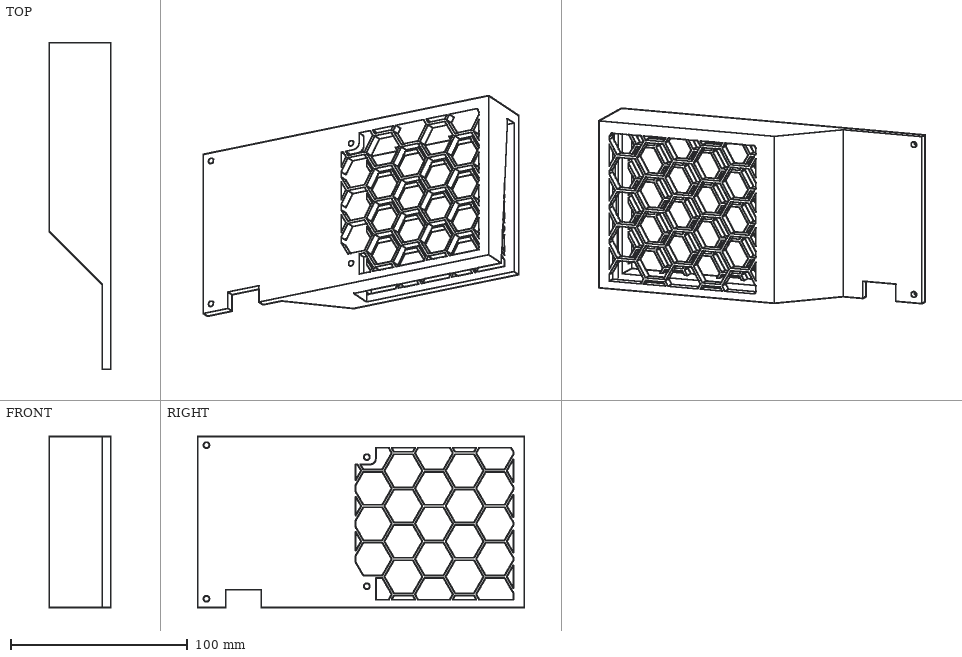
import cadquery as cq
import math

depth = 35.0
length = 185.01
height = 97.0
plate_thickness = 5.0
box_length = 107.0
box_start = length - box_length
ramp_run = depth - plate_thickness
front_x = -depth

screw_diameter = 3.2
plate_hole_inset = 5.0
notch_start = 16.0
notch_width = 20.0
notch_height = 10.0

grille_thickness = 5.5
window_width = 89.3
window_height = 86.0
window_end = length - 6.3
window_start = window_end - window_width
window_bottom = 4.5
window_top = window_bottom + window_height
cavity_front = front_x + grille_thickness

cell_pitch = 20.0
cell_gap = 1.5
cell_flats = cell_pitch - cell_gap
cell_diameter = cell_flats / math.cos(math.pi / 6)
column_pitch = cell_pitch * math.cos(math.pi / 6)
comb_y = length - 51.2
comb_z = window_bottom + window_height / 2
side_columns = 3
side_rows = 3
corner_cell = (-2, -2)

slot_lean = math.radians(4.6)
slot_back_x = -14.7

end_wall = 4.0
recess_end = length - end_wall
floor_skin = 2.0
step_x = slot_back_x - floor_skin * math.tan(slot_lean)

tab_edge = length - 84.0
tab_screw_y = length - 89.2
upper_screw_z = 85.2
lower_screw_z = 12.1
upper_tab_bottom = 81.0
upper_tab_radius = 3.5
lower_tab_top = 27.0
lower_tab_cell = (2, -1)


def block(x0, x1, y0, y1, z0, z1):
    """Box between two opposite corners."""
    return cq.Workplane("XY").box(x1 - x0, y1 - y0, z1 - z0, centered=False).translate((x0, y0, z0))


def x_prism(sketch, x0, x1):
    """Extrude a closed YZ sketch between two X positions."""
    return sketch.extrude(x1 - x0).translate((x0, 0, 0))


def cell_center(column, row):
    """Centre of a honeycomb cell; columns count toward -Y, odd ones are raised half a cell."""
    raised = cell_pitch / 2 if column % 2 else 0.0
    return (comb_y - column * column_pitch, comb_z + row * cell_pitch + raised)


def cell_cutter(centers, x0, x1):
    """Hexagonal prisms along X at the given cell centres."""
    return x_prism(cq.Workplane("YZ").pushPoints(centers).polygon(6, cell_diameter), x0, x1)


def shell_body():
    """Box, 45 degree ramp and thin plate as one profile extruded upward."""
    profile = [
        (0, 0),
        (0, length),
        (front_x, length),
        (front_x, box_start),
        (-plate_thickness, box_start - ramp_run),
        (-plate_thickness, 0),
    ]
    return cq.Workplane("XY").polyline(profile).close().extrude(height)


def cavity():
    """Window through the whole depth, widened behind the front grille into the wall and floor."""
    window = block(front_x, 0, window_start, window_end, window_bottom, window_top)
    recess = block(cavity_front, step_x, window_start, recess_end, floor_skin, window_top)
    return window.union(recess)


def slot():
    """Leaning slot that opens the end wall and the floor behind the front grille."""
    top_x = slot_back_x - window_top * math.tan(slot_lean)
    profile = [(cavity_front, 0), (slot_back_x, 0), (top_x, window_top), (cavity_front, window_top)]
    return (
        cq.Workplane("XZ").polyline(profile).close()
        .extrude(window_start - length)
        .translate((0, window_start, 0))
    )


def grille(x0, x1):
    """Honeycomb panel that fills the window, with its lower +Y corner left open."""
    centers = [
        cell_center(column, row)
        for column in range(-side_columns, side_columns + 1)
        for row in range(-side_rows, side_rows + 1)
    ]
    panel = block(x0, x1, window_start, window_end, window_bottom, window_top)
    corner_y, corner_z = cell_center(*corner_cell)
    corner = block(x0, x1, corner_y, window_end, window_bottom, corner_z)
    return panel.cut(cell_cutter(centers, x0, x1)).cut(corner)


def screw_cutter(y, z, x0):
    """Screw clearance hole from x0 through the back face."""
    return x_prism(cq.Workplane("YZ").center(y, z).circle(screw_diameter / 2), x0, 0)


def screw_tabs():
    """Upper tab with one rounded corner and lower tab that leaves its neighbouring cell open."""
    x0 = -grille_thickness
    upper = block(x0, 0, window_start, tab_edge, upper_tab_bottom, window_top)
    upper = upper.edges("|X and >Y and <Z").fillet(upper_tab_radius)
    lower = block(x0, 0, window_start, tab_edge, window_bottom, lower_tab_top)
    lower = lower.cut(cell_cutter([cell_center(*lower_tab_cell)], x0, 0))
    return upper.union(lower)


def plate_cutter():
    """Two screw holes and the notch in the lower edge of the thin plate."""
    cutter = block(-plate_thickness, 0, notch_start, notch_start + notch_width, 0, notch_height)
    for z in (plate_hole_inset, height - plate_hole_inset):
        cutter = cutter.union(screw_cutter(plate_hole_inset, z, -plate_thickness))
    return cutter


result = shell_body().cut(cavity()).cut(slot()).cut(plate_cutter())
result = result.union(grille(front_x, cavity_front))
result = result.union(grille(-grille_thickness, 0))
result = result.union(screw_tabs())
for screw_z in (lower_screw_z, upper_screw_z):
    result = result.cut(screw_cutter(tab_screw_y, screw_z, -grille_thickness))